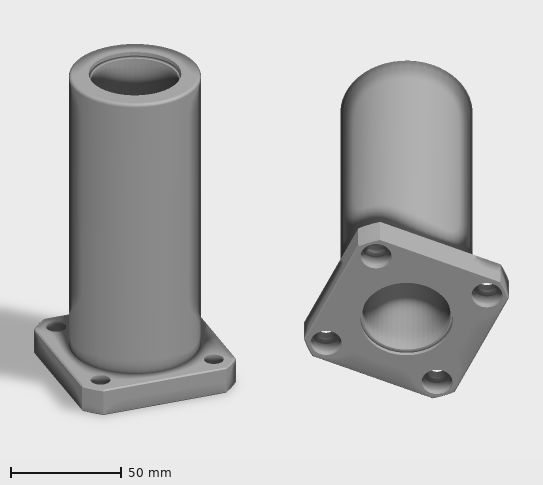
import cadquery as cq

total_height = 151.0
sleeve_diameter = 60.0
sleeve_edge_radius = 1.5

flange_diameter = 95.9
flange_side = 74.9
flange_thickness = 13.0
flange_chamfer = 0.6

bore_diameter = 40.0
lip_diameter = 42.0
lip_depth = 1.8
groove_diameter = 44.0
groove_end_depth = 2.9

hole_diameter = 9.0
hole_circle_diameter = 77.9
hole_count = 4
counterbore_diameter = 14.0
counterbore_depth = 8.0


def cylinder(diameter, height, base_z=0):
    return cq.Workplane("XY").workplane(offset=base_z).circle(diameter / 2).extrude(height)


def make_flange():
    square = cq.Workplane("XY").rect(flange_side, flange_side).extrude(flange_thickness)
    diamond = square.rotate((0, 0, 0), (0, 0, 1), 45)
    flange = diamond.intersect(cylinder(flange_diameter, flange_thickness))
    return flange.faces("<Z or >Z").chamfer(flange_chamfer)


def make_sleeve():
    return cylinder(sleeve_diameter, total_height).faces(">Z").fillet(sleeve_edge_radius)


def mounting_hole_cylinders(diameter, height):
    return (
        cq.Workplane("XY")
        .polarArray(hole_circle_diameter / 2, 0, 360, hole_count)
        .circle(diameter / 2)
        .extrude(height)
    )


def make_mounting_holes():
    through_holes = mounting_hole_cylinders(hole_diameter, flange_thickness)
    counterbores = mounting_hole_cylinders(counterbore_diameter, counterbore_depth)
    return through_holes.union(counterbores)


def make_end_recess():
    lip = cylinder(lip_diameter, lip_depth)
    groove = cylinder(groove_diameter, groove_end_depth - lip_depth, lip_depth)
    return lip.union(groove)


def make_bore():
    bottom_recess = make_end_recess()
    top_recess = bottom_recess.mirror("XY").translate((0, 0, total_height))
    return cylinder(bore_diameter, total_height).union(bottom_recess).union(top_recess)


result = make_flange().union(make_sleeve()).cut(make_mounting_holes()).cut(make_bore())